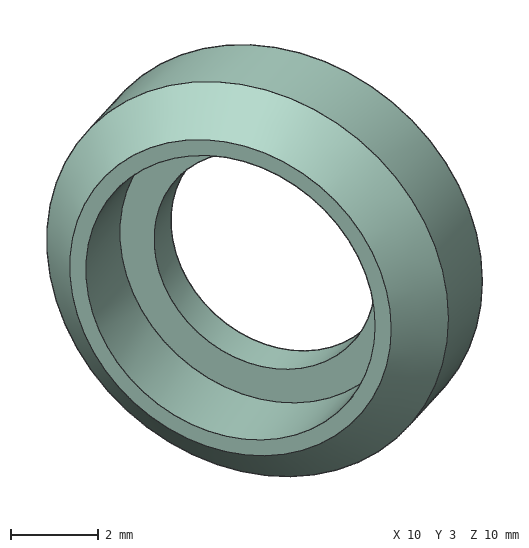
import cadquery as cq

outer_diameter = 10.0
width = 3.0
chamfer_size = 1.0
bore_diameter = 5.5
counterbore_diameter = 7.2
counterbore_depth = 2.0

front_y = -width / 2


def cylinder_from_front(diameter, length):
    """Cylinder along +Y that starts at the front face."""
    front_plane = cq.Workplane("XZ", origin=(0, front_y, 0))
    return front_plane.circle(diameter / 2).extrude(-length)


body = cylinder_from_front(outer_diameter, width).faces("<Y").chamfer(chamfer_size)

bore = cylinder_from_front(bore_diameter, width)
counterbore = cylinder_from_front(counterbore_diameter, counterbore_depth)

result = body.cut(bore).cut(counterbore)